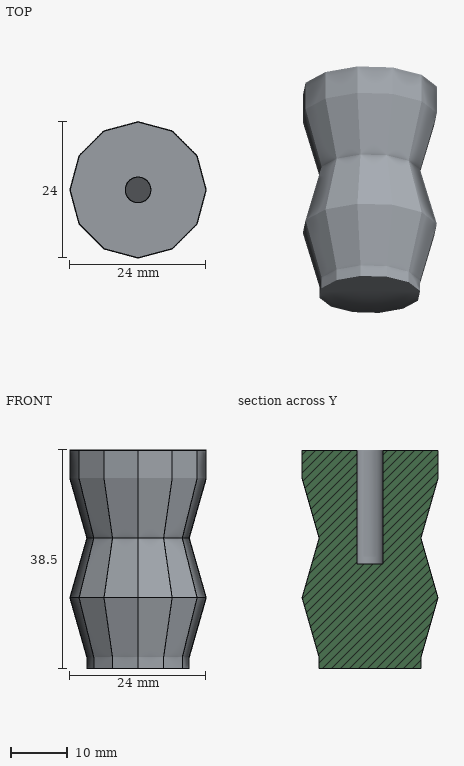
import cadquery as cq

SIDES = 12
WIDE_DIAMETER = 24.0
NARROW_DIAMETER = 18.0
FOOT_HEIGHT = 2.0
TAPER_HEIGHT = 10.5
HEAD_HEIGHT = 5.0

HOLE_DIAMETER = 4.5
HOLE_DEPTH = 20.0


def section(base_z, height, bottom_diameter, top_diameter):
    """Twelve-sided section with a corner on the +X axis, tapering between two diameters."""
    return (
        cq.Workplane("XY")
        .workplane(offset=base_z)
        .polygon(SIDES, bottom_diameter)
        .workplane(offset=height)
        .polygon(SIDES, top_diameter)
        .loft(ruled=True)
    )


def build_body():
    """Stack the sections from the foot up to the head."""
    sections = [
        (FOOT_HEIGHT, NARROW_DIAMETER, NARROW_DIAMETER),
        (TAPER_HEIGHT, NARROW_DIAMETER, WIDE_DIAMETER),
        (TAPER_HEIGHT, WIDE_DIAMETER, NARROW_DIAMETER),
        (TAPER_HEIGHT, NARROW_DIAMETER, WIDE_DIAMETER),
        (HEAD_HEIGHT, WIDE_DIAMETER, WIDE_DIAMETER),
    ]
    body = cq.Workplane("XY")
    base_z = 0.0
    for height, bottom_diameter, top_diameter in sections:
        body = body.union(section(base_z, height, bottom_diameter, top_diameter))
        base_z += height
    return body


def drill_top_hole(body):
    """Drill the flat-bottomed hole down the axis from the top face."""
    return body.faces(">Z").workplane(centerOption="CenterOfBoundBox").hole(HOLE_DIAMETER, HOLE_DEPTH)


result = drill_top_hole(build_body())